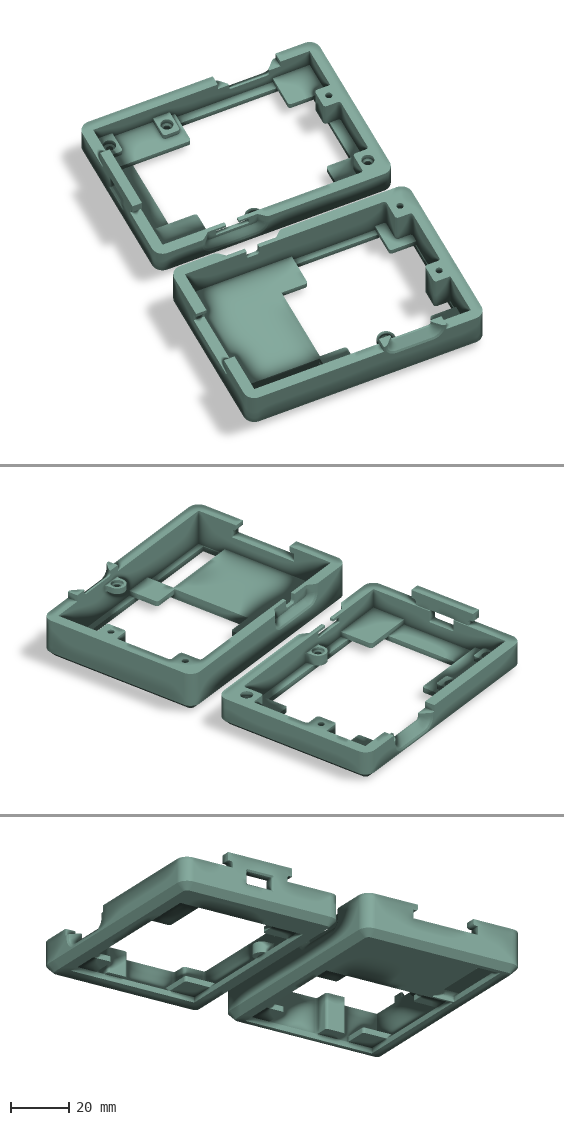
import cadquery as cq
CASE_WIDTH = 64.0
CASE_LENGTH = 90.0
HALF_GAP = 10.0
TRAY_HEIGHT = 11.5
COVER_HEIGHT = 15.5
WALL = 4.0
CORNER_RADIUS = 4.0
BOTTOM_CHAMFER = 2.5
LEDGE_THICKNESS = 2.0
PAD_THICKNESS = 2.0
SMALL_RADIUS = 1.0
OVERCUT = 1.0

PAD_TOP = LEDGE_THICKNESS + PAD_THICKNESS
COVER_X = CASE_WIDTH + HALF_GAP
TOTAL_WIDTH = COVER_X + CASE_WIDTH
CLOSED_HEIGHT = TRAY_HEIGHT + COVER_HEIGHT
INNER_LEFT = WALL
INNER_RIGHT = CASE_WIDTH - WALL
INNER_FRONT = WALL
INNER_BACK = CASE_LENGTH - WALL
COVER_INNER_LEFT = COVER_X + INNER_LEFT
COVER_INNER_RIGHT = COVER_X + INNER_RIGHT

TRAY_SIDE_LEDGE = 3.0
TRAY_BACK_LEDGE = 4.0
TRAY_FRONT_LEDGE = 9.0
TRAY_PAD_WIDTH = 13.0
TRAY_BACK_PAD_LENGTH = 14.0
TRAY_LEFT_PAD_LENGTH = 31.0
TRAY_RIGHT_PAD_LENGTH = 19.0
COVER_SIDE_LEDGE = 2.3
COVER_PAD_WIDTH = 12.0
COVER_BACK_PAD_LENGTH = 10.0
COVER_FLOOR_LENGTH = 30.5
COVER_SHOULDER_WIDTH = 13.0
COVER_SHOULDER_LENGTH = 40.5
COVER_SLOT_WIDTH = 8.8
COVER_END_LEDGE = 0.4
COVER_SIDE_PAD_FRONT = 34.0

SCREW_DIAMETER = 2.5
HEAD_DIAMETER = 4.5
BACK_SCREW_INSET = 6.4
MIDDLE_SCREW_X = 24.5
CORNER_SCREW_X = 56.0
BACK_SCREW_Y = CASE_LENGTH - BACK_SCREW_INSET
BACK_BOSS_LENGTH = 6.0
MIDDLE_BOSS_WIDTH = 8.0
CORNER_BOSS_WIDTH = 8.5
BACK_SCREW_DEPTH = 8.0
HEAD_DEPTH = 2.0
SIDE_BOSS_DIAMETER = 6.5
SIDE_BOSS_INSET = 2.5
TRAY_SIDE_BOSS_HEIGHT = 4.0
COVER_SIDE_BOSS_HEIGHT = 2.3
SIDE_BOSS_HEAD_DEPTH = 1.0
SIDE_BOSS_FILLET = 0.8
TRAY_SIDE_HOLE_DEPTH = 2.0
TRAY_SIDE_BOSS_Y = 39.8
COVER_SIDE_BOSS_Y = 55.1
COVER_SIDE_BOSS_BOTTOM = 11.2
BOARD_POST_WIDTH = 8.6
BOARD_POST_LENGTH = 6.3
BOARD_POST_HEIGHT = 2.0
BOARD_SCREW_INSET = 4.5
BOARD_SCREW_YS = (8.1, 29.8)

TAB_CENTER_X = 31.2
TAB_HEAD_WIDTH = 26.1
TAB_NECK_WIDTH = 22.3
TAB_HEIGHT = 5.4
TAB_HEAD_HEIGHT = 3.1
TAB_THICKNESS = 3.6
TAB_FILLET = 0.9
TAB_CLEARANCE = 0.1
USB_WIDTH = 10.2
USB_HEIGHT = 4.7
USB_CENTER_Z = 9.4
USB_RADIUS = 0.5
USB_CHAMFER = 0.6

FLARE_LIP_WIDTH = 0.8
FLARE_LIP_DEPTH = 0.4

KEY_FRONT = 51.2
KEY_BACK = 74.9
KEY_DEPTH = 2.5
PORT_WIDTH = 15.3
PORT_HEIGHT = 4.5
PORT_CENTER_Z = 8.85
PORT_RADIUS = 1.0
PORT_FLARE = 3.5
PORT_FLARE_DEPTH = 3.3
PORT_CENTER_Y = (KEY_FRONT + KEY_BACK) / 2

RECESS_WIDTH = 18.8
RECESS_HEIGHT = 9.0
RECESS_RADIUS = 1.0
RECESS_DEPTH = 2.5
RECESS_FLARE = 3.1
CABLE_CENTER_Y = 29.8
CABLE_WIDTH = 12.5
CABLE_BOTTOM = 8.3
CABLE_TOP = 10.5
NOTCH_WIDTH = 4.8
NOTCH_DEPTH = 3.5


def block(x_range, y_range, z_range):
    """Axis-aligned box given by its limits."""
    size = [high - low for low, high in (x_range, y_range, z_range)]
    corner = (x_range[0], y_range[0], z_range[0])
    return cq.Workplane("XY").box(*size, centered=False).translate(corner)


def cylinder(diameter, x, y, z_range):
    """Upright cylinder."""
    height = z_range[1] - z_range[0]
    return cq.Workplane("XY", origin=(x, y, z_range[0])).circle(diameter / 2).extrude(height)


def close_over(shape):
    """Move a shape from its place on the tray to the matching place on the cover."""
    middle_x = TOTAL_WIDTH / 2
    middle_z = CLOSED_HEIGHT / 2
    return shape.rotate((middle_x, 0, middle_z), (middle_x, 1, middle_z), 180)


def open_box(x_start, height):
    """Rounded box with a chamfered bottom edge and an open cavity down to the ledge."""
    x_end = x_start + CASE_WIDTH
    shell = block((x_start, x_end), (0, CASE_LENGTH), (0, height))
    shell = shell.edges("|Z").fillet(CORNER_RADIUS).faces("<Z").chamfer(BOTTOM_CHAMFER)
    cavity = block(
        (x_start + WALL, x_end - WALL), (INNER_FRONT, INNER_BACK), (LEDGE_THICKNESS, height + OVERCUT)
    )
    return shell.cut(cavity)


def pad(x_range, y_range, rounded=""):
    """Support pad above the ledge; `rounded` selects its rounded vertical edges."""
    plate = block(x_range, y_range, (LEDGE_THICKNESS, PAD_TOP))
    return plate.edges(rounded).fillet(SMALL_RADIUS) if rounded else plate


def back_boss(left, right, height, corner=False):
    """Screw boss on the back wall with its +X side blended in; a corner boss meets the side wall."""
    r = SMALL_RADIUS
    front = INNER_BACK - BACK_BOSS_LENGTH
    root = INNER_BACK + OVERCUT
    plan = cq.Workplane("XY", origin=(0, 0, LEDGE_THICKNESS))
    plan = plan.moveTo(right + r, root).lineTo(right + r, INNER_BACK)
    plan = plan.radiusArc((right, INNER_BACK - r), -r)
    plan = plan.lineTo(right, front + r).radiusArc((right - r, front), r)
    plan = plan.lineTo(left + r, front)
    if corner:
        plan = plan.radiusArc((left, front - r), -r)
        plan = plan.lineTo(left - OVERCUT, front - r).lineTo(left - OVERCUT, root)
    else:
        plan = plan.radiusArc((left, front + r), r).lineTo(left, root)
    return plan.close().extrude(height - LEDGE_THICKNESS)


def middle_boss(height):
    """Boss around the middle back screw, in its place on the tray."""
    half_width = MIDDLE_BOSS_WIDTH / 2
    return back_boss(MIDDLE_SCREW_X - half_width, MIDDLE_SCREW_X + half_width, height)


def mirrored(shape, x_start):
    """Mirror a shape left to right within the half that starts at x_start."""
    return shape.mirror("YZ", (x_start + CASE_WIDTH / 2, 0, 0))


def side_boss(x, y, bottom, height, wall_x):
    """Round screw boss joined to a right-hand side wall by a blended web."""
    radius = SIDE_BOSS_DIAMETER / 2
    r = SIDE_BOSS_FILLET
    plan = cq.Workplane("XY", origin=(0, y, bottom)).moveTo(x, radius).lineTo(wall_x - r, radius)
    plan = plan.radiusArc((wall_x, radius + r), -r).lineTo(wall_x + OVERCUT, radius + r)
    plan = plan.lineTo(wall_x + OVERCUT, -radius - r).lineTo(wall_x, -radius - r)
    plan = plan.radiusArc((wall_x - r, -radius), -r).lineTo(x, -radius)
    return plan.threePointArc((x - radius, 0), (x, radius)).close().extrude(height)


def flared_cutter(outer_x, inward, y, z, width, height, radius, flare, depth):
    """Rounded window that widens toward the outer wall face at outer_x, ending in a bevelled lip."""
    def outline(growth, level):
        sketch = cq.Sketch().rect(width + 2 * growth, height + 2 * growth)
        return sketch.vertices().fillet(radius + growth).moved(cq.Location((0, 0, level)))

    mouth = outline(flare, 0)
    throat = outline(flare - FLARE_LIP_WIDTH, FLARE_LIP_DEPTH)
    window = outline(0, depth)
    start = cq.Workplane(cq.Plane((outer_x, y, z), xDir=(0, inward, 0), normal=(inward, 0, 0)))
    lip = start.placeSketch(mouth, throat).loft()
    return lip.union(start.placeSketch(throat, window).loft())


def dovetail(clearance, thickness):
    """Front tab: a wide head on a narrower neck, with a rounded inside corner."""
    head = TAB_HEAD_WIDTH / 2 + clearance
    neck = TAB_NECK_WIDTH / 2 + clearance
    top = TRAY_HEIGHT + TAB_HEIGHT + clearance
    head_bottom = top - TAB_HEAD_HEIGHT - clearance
    base = TRAY_HEIGHT - OVERCUT
    r = TAB_FILLET
    plan = cq.Workplane("XZ", origin=(TAB_CENTER_X, thickness, 0))
    plan = plan.moveTo(-neck, base).lineTo(-neck, head_bottom - r)
    plan = plan.radiusArc((-neck - r, head_bottom), -r)
    plan = plan.lineTo(-head, head_bottom).lineTo(-head, top)
    plan = plan.lineTo(head, top).lineTo(head, head_bottom).lineTo(neck + r, head_bottom)
    plan = plan.radiusArc((neck, head_bottom - r), -r).lineTo(neck, base)
    return plan.close().extrude(thickness)


def usb_window():
    """Rounded window through the front tab with a chamfered outer edge."""
    reach = WALL + 2 * OVERCUT
    window = cq.Workplane("XZ", origin=(TAB_CENTER_X, WALL + OVERCUT, USB_CENTER_Z))
    window = window.rect(USB_WIDTH, USB_HEIGHT).extrude(reach).edges("|Y").fillet(USB_RADIUS)
    mouth = cq.Workplane("XZ", origin=(TAB_CENTER_X, USB_CHAMFER, USB_CENTER_Z))
    mouth = mouth.rect(USB_WIDTH, USB_HEIGHT).extrude(USB_CHAMFER, taper=-45)
    return window.union(mouth)


def plug_port():
    """Window and outward flare shared by the tray's left wall and the cover's right wall."""
    window = block(
        (-OVERCUT, WALL + OVERCUT),
        (PORT_CENTER_Y - PORT_WIDTH / 2, PORT_CENTER_Y + PORT_WIDTH / 2),
        (PORT_CENTER_Z - PORT_HEIGHT / 2, PORT_CENTER_Z + PORT_HEIGHT / 2),
    ).edges("|X").fillet(PORT_RADIUS)
    flare = flared_cutter(
        0, 1, PORT_CENTER_Y, PORT_CENTER_Z, PORT_WIDTH, PORT_HEIGHT, PORT_RADIUS, PORT_FLARE, PORT_FLARE_DEPTH
    )
    return window.union(flare)


def key_block():
    """Stretch of the tray's left wall that the cover's keys take over."""
    return block((0, WALL), (KEY_FRONT, KEY_BACK), (TRAY_HEIGHT - KEY_DEPTH, TRAY_HEIGHT))


def cable_port():
    """Outer recess, connector opening and notch around the joint at the tray's right wall."""
    recess = flared_cutter(
        CASE_WIDTH, -1, CABLE_CENTER_Y, TRAY_HEIGHT, RECESS_WIDTH, RECESS_HEIGHT,
        RECESS_RADIUS, RECESS_FLARE, RECESS_DEPTH,
    )
    through = (INNER_RIGHT - OVERCUT, CASE_WIDTH - OVERCUT)
    half_cable = CABLE_WIDTH / 2
    half_notch = NOTCH_WIDTH / 2
    opening = block(
        through, (CABLE_CENTER_Y - half_cable, CABLE_CENTER_Y + half_cable), (CABLE_BOTTOM, CABLE_TOP)
    )
    notch = block(
        through, (CABLE_CENTER_Y - half_notch, CABLE_CENTER_Y + half_notch),
        (CABLE_BOTTOM, TRAY_HEIGHT + NOTCH_DEPTH),
    ).edges("|X and >Z").fillet(SMALL_RADIUS)
    return recess.union(opening).union(notch)


def screw_hole(x, y, top, depth):
    return cylinder(SCREW_DIAMETER, x, y, (top - depth, top))


def drill_side_boss(body, x, y, top, depth):
    """Screw hole with a head recess from the top of a side boss."""
    body = body.cut(cylinder(HEAD_DIAMETER, x, y, (top - SIDE_BOSS_HEAD_DEPTH, top)))
    return body.cut(screw_hole(x, y, top, depth))


def make_tray():
    body = open_box(0, TRAY_HEIGHT)
    opening = block(
        (INNER_LEFT + TRAY_SIDE_LEDGE, INNER_RIGHT - TRAY_SIDE_LEDGE),
        (INNER_FRONT + TRAY_FRONT_LEDGE, INNER_BACK - TRAY_BACK_LEDGE),
        (-OVERCUT, LEDGE_THICKNESS + OVERCUT),
    )
    body = body.cut(opening)

    left_pads = (INNER_LEFT, INNER_LEFT + TRAY_PAD_WIDTH)
    right_pads = (INNER_RIGHT - TRAY_PAD_WIDTH, INNER_RIGHT)
    back_pads = (INNER_BACK - TRAY_BACK_PAD_LENGTH, INNER_BACK)
    body = body.union(pad(left_pads, back_pads, "|Z and >X and <Y"))
    body = body.union(pad(right_pads, back_pads, "|Z and <X and <Y"))
    left_front = (INNER_FRONT, INNER_FRONT + TRAY_LEFT_PAD_LENGTH)
    body = body.union(pad(left_pads, left_front, "|Z and >X and >Y"))
    right_front = (INNER_FRONT, INNER_FRONT + TRAY_RIGHT_PAD_LENGTH)
    body = body.union(pad(right_pads, right_front, "|Z and <X and >Y"))

    body = body.union(middle_boss(TRAY_HEIGHT))
    corner = back_boss(INNER_LEFT, INNER_LEFT + CORNER_BOSS_WIDTH, TRAY_HEIGHT, corner=True)
    body = body.union(mirrored(corner, 0))
    for x in (MIDDLE_SCREW_X, CORNER_SCREW_X):
        body = body.cut(screw_hole(x, BACK_SCREW_Y, TRAY_HEIGHT, BACK_SCREW_DEPTH))
    head_range = (TRAY_HEIGHT - HEAD_DEPTH, TRAY_HEIGHT)
    body = body.cut(cylinder(HEAD_DIAMETER, CORNER_SCREW_X, BACK_SCREW_Y, head_range))

    post_top = PAD_TOP + BOARD_POST_HEIGHT
    board_screw_x = INNER_LEFT + BOARD_SCREW_INSET
    for y in BOARD_SCREW_YS:
        half_post = BOARD_POST_LENGTH / 2
        post = block(
            (INNER_LEFT, INNER_LEFT + BOARD_POST_WIDTH), (y - half_post, y + half_post), (PAD_TOP, post_top)
        ).edges("|Z and >X").fillet(SMALL_RADIUS)
        body = body.union(post)
        body = body.cut(cylinder(HEAD_DIAMETER, board_screw_x, y, (PAD_TOP, post_top)))
        body = body.cut(cylinder(SCREW_DIAMETER, board_screw_x, y, (LEDGE_THICKNESS, post_top)))

    boss_x = INNER_RIGHT - SIDE_BOSS_INSET
    boss_top = LEDGE_THICKNESS + TRAY_SIDE_BOSS_HEIGHT
    boss = side_boss(boss_x, TRAY_SIDE_BOSS_Y, LEDGE_THICKNESS, TRAY_SIDE_BOSS_HEIGHT, INNER_RIGHT)
    return drill_side_boss(body.union(boss), boss_x, TRAY_SIDE_BOSS_Y, boss_top, TRAY_SIDE_HOLE_DEPTH)


def finish_tray(body):
    """Front tab and wall ports of the tray."""
    body = body.union(dovetail(0, TAB_THICKNESS)).cut(usb_window())
    return body.cut(key_block()).cut(plug_port()).cut(cable_port())


def make_cover():
    body = open_box(COVER_X, COVER_HEIGHT)
    slot_right = COVER_INNER_RIGHT - COVER_SIDE_LEDGE
    opening = block(
        (COVER_INNER_LEFT + COVER_SIDE_LEDGE, slot_right),
        (INNER_FRONT + COVER_END_LEDGE, INNER_BACK - COVER_END_LEDGE),
        (-OVERCUT, LEDGE_THICKNESS + OVERCUT),
    )
    body = body.cut(opening)

    floor_right = slot_right - COVER_SLOT_WIDTH
    floor_back = INNER_FRONT + COVER_FLOOR_LENGTH
    shoulder_back = INNER_FRONT + COVER_SHOULDER_LENGTH
    body = body.union(block((COVER_INNER_LEFT, floor_right), (INNER_FRONT, floor_back), (0, PAD_TOP)))
    shoulder = (COVER_INNER_LEFT, COVER_INNER_LEFT + COVER_SHOULDER_WIDTH)
    body = body.union(pad(shoulder, (INNER_FRONT, shoulder_back), "|Z and >X and >Y"))

    left_pad = (COVER_INNER_LEFT, COVER_INNER_LEFT + COVER_PAD_WIDTH)
    right_pad = (COVER_INNER_RIGHT - COVER_PAD_WIDTH, COVER_INNER_RIGHT)
    back_pads = (INNER_BACK - COVER_BACK_PAD_LENGTH, INNER_BACK)
    body = body.union(pad(left_pad, back_pads, "|Z and >X and <Y"))
    body = body.union(pad(right_pad, back_pads, "|Z and <X and <Y"))
    side_pad = (COVER_SIDE_PAD_FRONT, shoulder_back)
    body = body.union(pad(right_pad, side_pad, "|Z and <X and >Y"))
    bridge = (COVER_SIDE_PAD_FRONT - COVER_END_LEDGE, floor_back)
    body = body.union(block((floor_right, COVER_INNER_RIGHT), bridge, (0, LEDGE_THICKNESS)))

    middle_x = TOTAL_WIDTH - MIDDLE_SCREW_X
    corner_x = TOTAL_WIDTH - CORNER_SCREW_X
    middle = middle_boss(COVER_HEIGHT).translate((COVER_X, 0, 0))
    body = body.union(mirrored(middle, COVER_X))
    corner_right = COVER_INNER_LEFT + CORNER_BOSS_WIDTH
    body = body.union(back_boss(COVER_INNER_LEFT, corner_right, COVER_HEIGHT, corner=True))
    for x in (middle_x, corner_x):
        body = body.cut(screw_hole(x, BACK_SCREW_Y, COVER_HEIGHT, BACK_SCREW_DEPTH))

    boss_x = COVER_INNER_RIGHT - SIDE_BOSS_INSET
    boss_top = COVER_SIDE_BOSS_BOTTOM + COVER_SIDE_BOSS_HEIGHT
    boss = side_boss(
        boss_x, COVER_SIDE_BOSS_Y, COVER_SIDE_BOSS_BOTTOM, COVER_SIDE_BOSS_HEIGHT, COVER_INNER_RIGHT
    )
    return drill_side_boss(body.union(boss), boss_x, COVER_SIDE_BOSS_Y, boss_top, COVER_SIDE_BOSS_HEIGHT)


def finish_cover(body):
    """Tab slot, keys and wall ports of the cover."""
    body = body.cut(close_over(dovetail(TAB_CLEARANCE, WALL)))
    body = body.union(close_over(key_block()))
    return body.cut(close_over(plug_port())).cut(close_over(cable_port()))


tray = finish_tray(make_tray())
cover = finish_cover(make_cover())

result = cq.Compound.makeCompound([tray.val(), cover.val()])